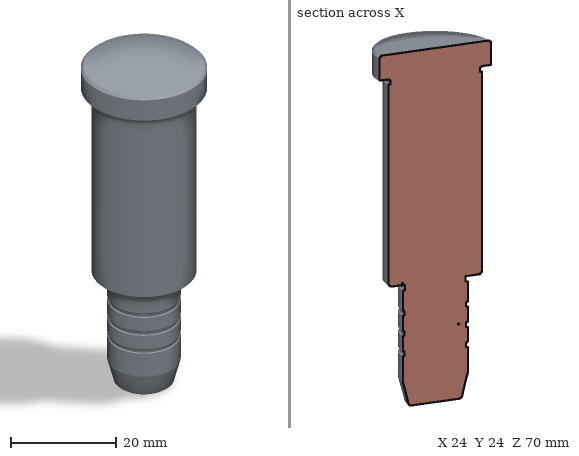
import cadquery as cq
import math

total_length = 70.0
head_diameter = 24.0
head_height = 5.0
body_diameter = 20.0
body_end_depth = 46.0
shank_diameter = 14.0
edge_chamfer = 0.5

groove_count = 3
groove_pitch = 4.0
groove_width = 1.0
groove_depth = 0.4
groove_fillet = 0.55
first_groove_depth = 50.95

neck_diameter = 13.0
neck_width = 1.0

tip_length = 5.0
tip_angle = 15.0
tip_chamfer = 0.35

head_bottom = total_length - head_height
body_bottom = total_length - body_end_depth
tip_diameter = shank_diameter - 2 * tip_length * math.tan(math.radians(tip_angle))


def cylinder(diameter, bottom, top):
    return cq.Workplane("XY").workplane(offset=bottom).circle(diameter / 2).extrude(top - bottom)


def make_head():
    return cylinder(head_diameter, head_bottom, total_length).faces(">Z").chamfer(edge_chamfer)


def make_body():
    return cylinder(body_diameter, body_bottom, head_bottom).faces("<Z").chamfer(edge_chamfer)


def make_shank():
    shank_top = body_bottom - neck_width
    neck = cylinder(neck_diameter, shank_top, body_bottom)
    shank = cylinder(shank_diameter, tip_length, shank_top)
    tip = (
        cq.Workplane("XY")
        .circle(tip_diameter / 2)
        .workplane(offset=tip_length)
        .circle(shank_diameter / 2)
        .loft(ruled=True)
        .faces("<Z")
        .chamfer(tip_chamfer)
    )
    return neck.union(shank).union(tip)


def make_groove(diameter, top):
    """Ring that cuts a groove: filleted upper side, straight root and flat lower side."""
    outer = diameter / 2
    root = outer - groove_depth
    arc_center = root + groove_fillet
    arc_height = math.sqrt(groove_fillet**2 - (arc_center - outer) ** 2)
    arc_end = top - arc_height
    middle_angle = math.asin(arc_height / groove_fillet) / 2
    arc_middle = (
        arc_center - groove_fillet * math.cos(middle_angle),
        arc_end + groove_fillet * math.sin(middle_angle),
    )
    return (
        cq.Workplane("XZ")
        .moveTo(outer, top)
        .threePointArc(arc_middle, (root, arc_end))
        .lineTo(root, top - groove_width)
        .lineTo(outer, top - groove_width)
        .close()
        .revolve(360, (0, 0, 0), (0, 1, 0))
    )


result = make_head().union(make_body()).union(make_shank())
result = result.cut(make_groove(body_diameter, head_bottom))
for index in range(groove_count):
    groove_top = total_length - first_groove_depth - index * groove_pitch
    result = result.cut(make_groove(shank_diameter, groove_top))